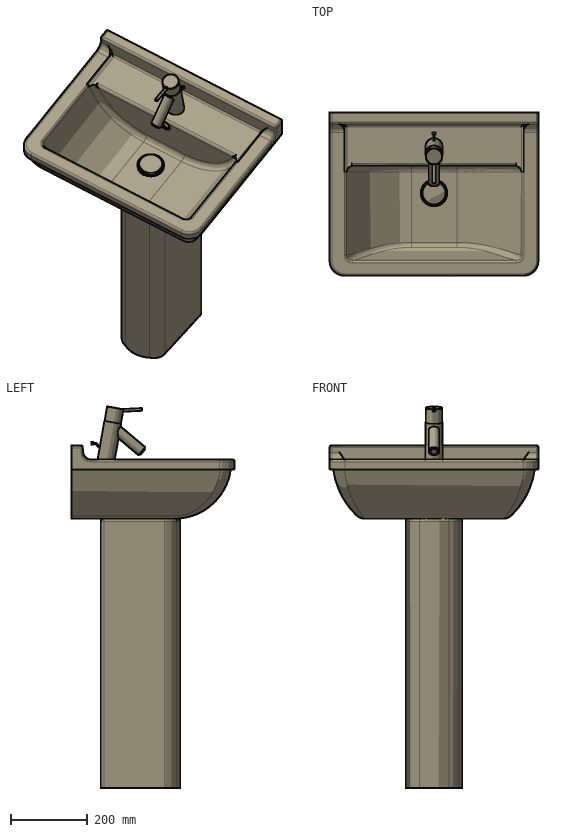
import cadquery as cq
import math


WIDTH = 550.0
DEPTH = 430.0
HEIGHT = 1004.0
HALF_WIDTH = WIDTH / 2

PICK_MARGIN = 0.1

BASIN_BOTTOM = 708.0
RIM_BOTTOM = 838.0
RIM_TOP = 865.0
LEDGE_TOP = 902.0

LEDGE_TOP_DEPTH = 30.0
LEDGE_FOOT_DEPTH = 33.0
COVE_RADIUS = 20.0
RIM_CORNER_RADIUS = 40.0
RIM_TOP_ROUND = 6.0
RIM_BOTTOM_ROUND = 4.0

BOWL_SIDE_INSET = 10.0
BOWL_FRONT_INSET = 10.0
BOWL_BOTTOM_HALF_WIDTH = 193.0
BOWL_SIDE_ARC_POINT = (243.0, 769.0)
BOWL_FRONT_ARC_RADIUS = 151.0
BOWL_EDGE_ROUND = 29.0

FLOOR_Z = 739.0
FLOOR_HALF_WIDTH = 59.0
CAVITY_HALF_WIDTH = 232.0
CAVITY_BACK_Y = -141.0
CAVITY_FRONT_Y = -390.0
CAVITY_FRONT_FLOOR_Y = -350.0
CAVITY_FRONT_ARC_SAG = 8.0
CAVITY_EDGE_ROUND = 15.0
CAVITY_LIP_ROUND = 6.0

DECK_Z = 857.0
DECK_HALF_WIDTH = 236.0
COVE_FLARE = 14.0
DECK_SIDE_ROUND = 7.0
DECK_BACK_ROUND = 5.0
DECK_LIP_ROUND = 7.5

OVERFLOW_DIAMETER = 20.0
OVERFLOW_RECESS_DIAMETER = 28.0
OVERFLOW_RECESS_DEPTH = 4.0
OVERFLOW_DEPTH = 15.0
OVERFLOW_Z = 835.0

PEDESTAL_HALF_WIDTH = 75.0
PEDESTAL_BACK_Y = -77.0
PEDESTAL_FRONT_Y = -287.0
PEDESTAL_FLANK_FRONT_X = 65.0
PEDESTAL_FLANK_FRONT_Y = -244.0
PEDESTAL_BOW_HALF_WIDTH = 38.0
PEDESTAL_BOW_START_Y = -277.0
PEDESTAL_BACK_ROUND = 7.0
PEDESTAL_TOP_ROUND = 6.0

TAP_LEAN = 10.0
TAP_DIAMETER = 45.0
TAP_BASE_Y = -90.0
HEAD_DIAMETER = 44.0
HEAD_LENGTH = 39.0
HEAD_CHAMFER = 1.0
HEAD_TOP_TILT_RISE = (HEAD_DIAMETER / 2 - HEAD_CHAMFER) * math.sin(math.radians(TAP_LEAN))
HEAD_BASE_Z = HEIGHT - HEAD_TOP_TILT_RISE - HEAD_LENGTH * math.cos(math.radians(TAP_LEAN))

LEVER_DIAMETER = 8.0
LEVER_TIP_Z = 996.0
LEVER_TIP_Y = -187.0
LEVER_RISE = 3.0
LEVER_LENGTH = 52.0
LEVER_TIP_CHAMFER = 2.0

SPOUT_DIAMETER = 28.0
SPOUT_DROP = 40.0
SPOUT_LENGTH = 102.0
SPOUT_ROOT_Z = 952.0
AERATOR_DIAMETER = 20.0
AERATOR_RECESS = 6.0
AERATOR_PROUD = 3.0

ROD_DIAMETER = 4.0
KNOB_DIAMETER = 8.0
KNOB_LENGTH = 5.0
ROD_END_Y = -52.0
ROD_BEND_Y = -64.0
ROD_Z = 907.0
ROD_DROP = 45.0

PLUG_Y = -212.0
PLUG_DIAMETER = 70.0
PLUG_DOME_DIAMETER = 60.0
PLUG_EDGE_HEIGHT = 5.0
PLUG_SHOULDER_HEIGHT = 9.0
PLUG_HEIGHT = 13.0
PLUG_NOTCHES = 36
PLUG_NOTCH_DIAMETER = 3.0


def extrude_across(profile_yz, half_width):
    """Extrude a YZ outline symmetrically along X."""
    return profile_yz.extrude(half_width, both=True)


def ledge_front_y(z):
    """Y of the ledge's sloping front face at height z."""
    slope = (LEDGE_FOOT_DEPTH - LEDGE_TOP_DEPTH) / (LEDGE_TOP - DECK_Z)
    return -LEDGE_TOP_DEPTH - slope * (LEDGE_TOP - z)


def make_rim():
    """Slab with rounded front corners and a ledge along the back, joined to it by a cove."""
    ledge_rim_y = ledge_front_y(RIM_TOP)
    side = (
        cq.Workplane("YZ")
        .moveTo(0, RIM_BOTTOM)
        .lineTo(0, LEDGE_TOP)
        .lineTo(-LEDGE_TOP_DEPTH, LEDGE_TOP)
        .lineTo(ledge_rim_y, RIM_TOP)
        .lineTo(-DEPTH, RIM_TOP)
        .lineTo(-DEPTH, RIM_BOTTOM)
        .close()
    )
    rim = extrude_across(side, HALF_WIDTH)
    inner_corner = cq.selectors.NearestToPointSelector((0, ledge_rim_y, RIM_TOP))
    rim = rim.edges(inner_corner).fillet(COVE_RADIUS)
    rim = rim.edges("|Z and <Y").fillet(RIM_CORNER_RADIUS)
    rim = rim.faces("<Z").edges("not >Y").fillet(RIM_BOTTOM_ROUND)
    upper_sides = cq.selectors.BoxSelector(
        (-WIDTH, -DEPTH, (RIM_BOTTOM + RIM_TOP) / 2),
        (WIDTH, -PICK_MARGIN, HEIGHT),
    )
    side_edges = rim.faces("<X or >X").edges(upper_sides)
    ledge_front = rim.edges("|X and >Z").edges("<Y")
    return side_edges.add(ledge_front).fillet(RIM_TOP_ROUND)


def make_bowl_shell():
    """Outside of the bowl: an XZ outline crossed with a YZ outline."""
    top_half_width = HALF_WIDTH - BOWL_SIDE_INSET
    arc_x, arc_z = BOWL_SIDE_ARC_POINT
    across = (
        cq.Workplane("XZ")
        .moveTo(-BOWL_BOTTOM_HALF_WIDTH, BASIN_BOTTOM)
        .lineTo(BOWL_BOTTOM_HALF_WIDTH, BASIN_BOTTOM)
        .threePointArc((arc_x, arc_z), (top_half_width, RIM_BOTTOM))
        .lineTo(-top_half_width, RIM_BOTTOM)
        .threePointArc((-arc_x, arc_z), (-BOWL_BOTTOM_HALF_WIDTH, BASIN_BOTTOM))
        .close()
        .extrude(DEPTH)
    )
    front_y = -DEPTH + BOWL_FRONT_INSET
    rise = RIM_BOTTOM - BASIN_BOTTOM
    arc_run = math.sqrt(BOWL_FRONT_ARC_RADIUS**2 - (BOWL_FRONT_ARC_RADIUS - rise) ** 2)
    along = (
        cq.Workplane("YZ")
        .moveTo(0, RIM_BOTTOM)
        .lineTo(0, BASIN_BOTTOM)
        .lineTo(front_y + arc_run, BASIN_BOTTOM)
        .radiusArc((front_y, RIM_BOTTOM), BOWL_FRONT_ARC_RADIUS)
        .close()
    )
    bowl = across.intersect(extrude_across(along, HALF_WIDTH))
    return bowl.edges("not %LINE").edges("not >Y").fillet(BOWL_EDGE_ROUND)


def make_cavity():
    """Space inside the bowl: a trough with curved flanks crossed with a YZ outline."""
    flank_run = CAVITY_HALF_WIDTH - FLOOR_HALF_WIDTH
    flank_rise = RIM_TOP - FLOOR_Z
    flank_radius = (flank_run**2 + flank_rise**2) / (2 * flank_rise)
    across = (
        cq.Workplane("XZ")
        .moveTo(-FLOOR_HALF_WIDTH, FLOOR_Z)
        .lineTo(FLOOR_HALF_WIDTH, FLOOR_Z)
        .radiusArc((CAVITY_HALF_WIDTH, RIM_TOP), -flank_radius)
        .lineTo(-CAVITY_HALF_WIDTH, RIM_TOP)
        .radiusArc((-FLOOR_HALF_WIDTH, FLOOR_Z), -flank_radius)
        .close()
        .extrude(DEPTH)
    )
    along = (
        cq.Workplane("YZ")
        .moveTo(CAVITY_BACK_Y, RIM_TOP)
        .lineTo(CAVITY_BACK_Y, FLOOR_Z)
        .lineTo(CAVITY_FRONT_FLOOR_Y, FLOOR_Z)
        .sagittaArc((CAVITY_FRONT_Y, RIM_TOP), CAVITY_FRONT_ARC_SAG)
        .close()
    )
    cavity = across.intersect(extrude_across(along, HALF_WIDTH))
    return cavity.faces("<Y or >Y").edges("not >Z").fillet(CAVITY_EDGE_ROUND)


def make_deck_pocket():
    """Shallow pocket for the tap deck, reaching forward over the rounded back corners of the bowl.

    Above the rim it flares outwards, which trims the inner ends of the cove at a slant.
    """
    front_y = CAVITY_BACK_Y - CAVITY_EDGE_ROUND
    top_z = RIM_TOP + COVE_RADIUS
    side = (
        cq.Workplane("YZ")
        .moveTo(front_y, DECK_Z)
        .lineTo(ledge_front_y(DECK_Z), DECK_Z)
        .lineTo(ledge_front_y(top_z), top_z)
        .lineTo(front_y, top_z)
        .close()
    )
    flared_half_width = DECK_HALF_WIDTH + COVE_FLARE
    across = (
        cq.Workplane("XZ")
        .moveTo(-DECK_HALF_WIDTH, DECK_Z)
        .lineTo(DECK_HALF_WIDTH, DECK_Z)
        .lineTo(DECK_HALF_WIDTH, RIM_TOP)
        .lineTo(flared_half_width, top_z)
        .lineTo(-flared_half_width, top_z)
        .lineTo(-DECK_HALF_WIDTH, RIM_TOP)
        .close()
        .extrude(DEPTH)
    )
    along = extrude_across(side, HALF_WIDTH).faces("<Z").edges(">Y").fillet(DECK_BACK_ROUND)
    return across.faces("<Z").edges("|Y").fillet(DECK_SIDE_ROUND).intersect(along)


def make_deck_lip():
    """Waste outside the quarter round on the deck's front edge, straight up to the bowl's corners."""
    waste = (
        cq.Workplane("YZ")
        .moveTo(CAVITY_BACK_Y + DECK_LIP_ROUND, DECK_Z)
        .radiusArc((CAVITY_BACK_Y, DECK_Z - DECK_LIP_ROUND), -DECK_LIP_ROUND)
        .lineTo(CAVITY_BACK_Y, DECK_Z)
        .close()
    )
    return extrude_across(waste, CAVITY_HALF_WIDTH - CAVITY_EDGE_ROUND)


def make_overflow():
    """Blind hole with a shallow recess around its mouth, entering the back wall of the bowl."""
    mouth = cq.Workplane("XZ", origin=(0, CAVITY_BACK_Y, OVERFLOW_Z))
    recess = mouth.circle(OVERFLOW_RECESS_DIAMETER / 2).extrude(-OVERFLOW_RECESS_DEPTH)
    hole = mouth.circle(OVERFLOW_DIAMETER / 2).extrude(-OVERFLOW_DEPTH)
    return recess.union(hole)


def make_basin():
    """Rim, ledge and bowl as one solid with the cavity, tap deck and overflow cut out."""
    basin = make_rim().union(make_bowl_shell()).cut(make_cavity())
    lip = basin.edges(
        cq.selectors.BoxSelector(
            (-DECK_HALF_WIDTH, CAVITY_FRONT_Y - CAVITY_LIP_ROUND, RIM_TOP - PICK_MARGIN),
            (DECK_HALF_WIDTH, CAVITY_BACK_Y + CAVITY_LIP_ROUND, RIM_TOP + PICK_MARGIN),
        )
    )
    basin = lip.fillet(CAVITY_LIP_ROUND).cut(make_deck_pocket())
    return basin.cut(make_deck_lip()).cut(make_overflow())


def make_pedestal():
    """Column whose flat flanks converge towards rounded corners and a bowed front."""
    bow_depth = PEDESTAL_BOW_START_Y - PEDESTAL_FRONT_Y
    bow_radius = (PEDESTAL_BOW_HALF_WIDTH**2 + bow_depth**2) / (2 * bow_depth)
    section = (
        cq.Workplane("XY")
        .moveTo(0, PEDESTAL_BACK_Y)
        .lineTo(PEDESTAL_HALF_WIDTH, PEDESTAL_BACK_Y)
        .lineTo(PEDESTAL_FLANK_FRONT_X, PEDESTAL_FLANK_FRONT_Y)
        .tangentArcPoint((PEDESTAL_BOW_HALF_WIDTH, PEDESTAL_BOW_START_Y), relative=False)
        .radiusArc((0, PEDESTAL_FRONT_Y), bow_radius)
        .mirrorY()
    )
    pedestal = section.extrude(BASIN_BOTTOM).clean().edges("|Z and >Y").fillet(PEDESTAL_BACK_ROUND)
    return pedestal.faces(">Z").edges().fillet(PEDESTAL_TOP_ROUND)


def tap_axis_y(z):
    """Y of the leaning tap axis at height z."""
    return TAP_BASE_Y - (z - DECK_Z) * math.tan(math.radians(TAP_LEAN))


def tap_plane(z):
    """Plane square to the tap axis, centred on the axis at height z."""
    lean = math.radians(TAP_LEAN)
    return cq.Plane(origin=(0, tap_axis_y(z), z), xDir=(1, 0, 0), normal=(0, -math.sin(lean), math.cos(lean)))


def make_tap_body():
    """Leaning cylinder standing on the deck; its foot is trimmed level with the deck."""
    axis_length = (HEAD_BASE_Z - DECK_Z) / math.cos(math.radians(TAP_LEAN))
    overrun = TAP_DIAMETER
    column = cq.Workplane(tap_plane(HEAD_BASE_Z)).circle(TAP_DIAMETER / 2).extrude(-axis_length - overrun)
    above_deck = (
        cq.Workplane("XY", origin=(0, 0, DECK_Z))
        .rect(WIDTH, 2 * DEPTH)
        .extrude(HEIGHT - DECK_Z)
    )
    return column.intersect(above_deck)


def make_tap_head():
    """Cap on top of the tap body, on the same axis."""
    head = cq.Workplane(tap_plane(HEAD_BASE_Z)).circle(HEAD_DIAMETER / 2).extrude(HEAD_LENGTH)
    return head.edges(">Z").chamfer(HEAD_CHAMFER)


def make_lever(tap_head):
    """Round bar that rises slightly towards its tip and ends against the front of the tap head."""
    rise = math.radians(LEVER_RISE)
    tip = cq.Plane(
        origin=(0, LEVER_TIP_Y, LEVER_TIP_Z),
        xDir=(1, 0, 0),
        normal=(0, -math.cos(rise), math.sin(rise)),
    )
    lever = cq.Workplane(tip).circle(LEVER_DIAMETER / 2).extrude(-LEVER_LENGTH)
    return lever.edges("<Y").chamfer(LEVER_TIP_CHAMFER).cut(tap_head)


def spout_outlet():
    """Work plane on the spout's outlet face, facing out along the spout."""
    drop = math.radians(SPOUT_DROP)
    direction = cq.Vector(0, -math.cos(drop), -math.sin(drop))
    centre = cq.Vector(0, tap_axis_y(SPOUT_ROOT_Z), SPOUT_ROOT_Z) + direction * SPOUT_LENGTH
    return cq.Workplane(cq.Plane(origin=centre, xDir=(1, 0, 0), normal=direction))


def make_spout(tap_body):
    """Round spout that slopes down from the tap body, with a recess for the aerator.

    It starts inside the tap body, short of the axis, and is trimmed to the body's surface.
    """
    outlet = spout_outlet()
    root_gap = TAP_DIAMETER / 4
    spout = outlet.circle(SPOUT_DIAMETER / 2).extrude(root_gap - SPOUT_LENGTH).cut(tap_body)
    return spout.cut(outlet.circle(AERATOR_DIAMETER / 2).extrude(-AERATOR_RECESS))


def make_aerator():
    """Disc in the spout's recess, standing slightly proud of the outlet."""
    seat = spout_outlet().workplane(offset=-AERATOR_RECESS)
    return seat.circle(AERATOR_DIAMETER / 2).extrude(AERATOR_RECESS + AERATOR_PROUD)


def make_popup_rod(tap_body):
    """Bent rod with a knob, ending against the back of the tap body."""
    rod_start = cq.Workplane("XZ", origin=(0, ROD_END_Y, ROD_Z))
    knob = rod_start.circle(KNOB_DIAMETER / 2).extrude(KNOB_LENGTH)
    sink = ROD_BEND_Y - tap_axis_y(ROD_Z)
    path = (
        cq.Workplane("YZ")
        .moveTo(ROD_END_Y, ROD_Z)
        .lineTo(ROD_BEND_Y, ROD_Z)
        .lineTo(ROD_BEND_Y - sink, ROD_Z - sink * math.tan(math.radians(ROD_DROP)))
    )
    rod = rod_start.circle(ROD_DIAMETER / 2).sweep(path, transition="round")
    return knob.union(rod).cut(tap_body)


def make_drain_plug():
    """Domed plug on the bowl floor with a notched edge."""
    edge_radius = PLUG_DIAMETER / 2
    dome_radius = PLUG_DOME_DIAMETER / 2
    dome_rise = PLUG_HEIGHT - PLUG_SHOULDER_HEIGHT
    dome_sphere_radius = (dome_radius**2 + dome_rise**2) / (2 * dome_rise)
    plug = (
        cq.Workplane("XZ")
        .lineTo(edge_radius, 0)
        .lineTo(edge_radius, PLUG_EDGE_HEIGHT)
        .lineTo(dome_radius, PLUG_SHOULDER_HEIGHT)
        .radiusArc((0, PLUG_HEIGHT), -dome_sphere_radius)
        .close()
        .revolve(360, (0, 0, 0), (0, 1, 0))
    )
    notches = (
        cq.Workplane("XY")
        .polarArray(edge_radius, 0, 360, PLUG_NOTCHES)
        .circle(PLUG_NOTCH_DIAMETER / 2)
        .extrude(PLUG_HEIGHT)
    )
    return plug.cut(notches).translate((0, PLUG_Y, FLOOR_Z))


basin = make_basin()
pedestal = make_pedestal()
tap_body = make_tap_body()
tap_head = make_tap_head()
lever = make_lever(tap_head)
spout = make_spout(tap_body)
aerator = make_aerator()
popup_rod = make_popup_rod(tap_body)
drain_plug = make_drain_plug()

result = cq.Compound.makeCompound(
    [
        basin.solids().val(),
        pedestal.solids().val(),
        tap_body.solids().val(),
        tap_head.solids().val(),
        lever.solids().val(),
        spout.solids().val(),
        aerator.solids().val(),
        popup_rod.solids().val(),
        drain_plug.solids().val(),
    ]
)